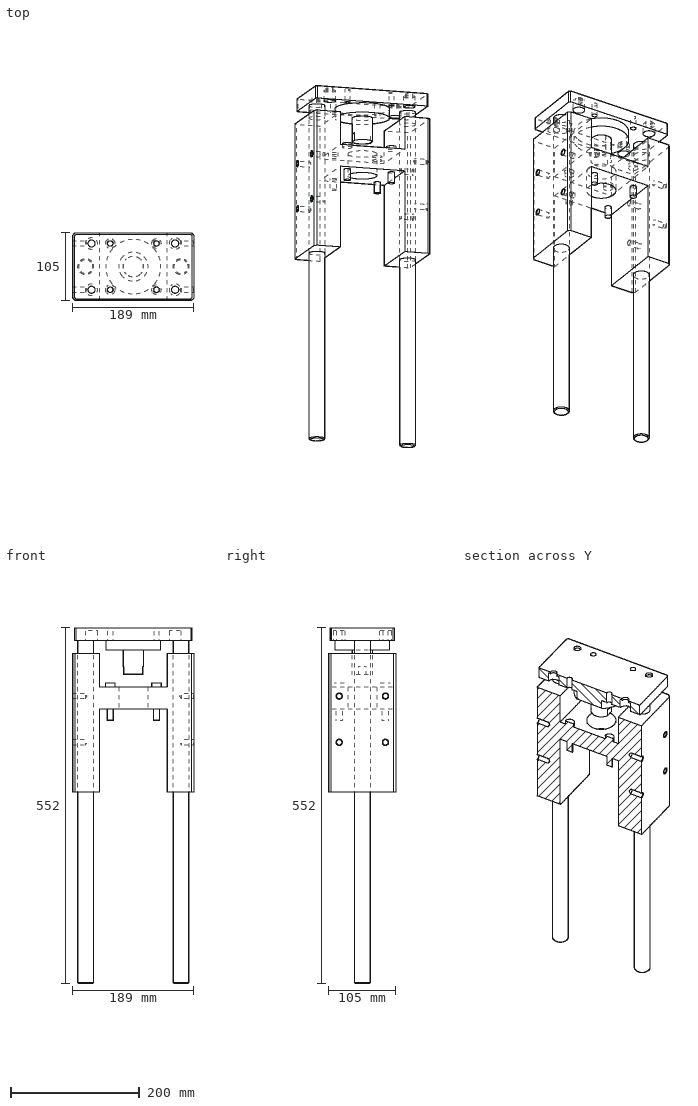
import cadquery as cq
import math

total_height = 552.0

housing_width = 189.0
housing_depth = 105.0
housing_height = 215.5
leg_width = 42.0
leg_gap = housing_width - 2 * leg_width
corner_chamfer = 4.0
web_thickness = 35.0
web_drop = 52.0
web_bore_diameter = 45.0

fixing_pitch = 72.0
screw_head_diameter = 15.0
screw_head_height = 6.0
screw_shank_diameter = 10.0
screw_shank_reach = 17.0

side_hole_diameter = 8.5
side_hole_mouth_diameter = 10.0
side_hole_depth = 20.0
drill_point_angle = 118
side_hole_pitch = 72.0
side_hole_drop = 66.0

plate_width = 182.5
plate_depth = 100.0
plate_thickness = 20.0
plate_chamfer = 2.0
plate_gap = 20.0
plate_small_hole_diameter = 8.5
plate_large_hole_diameter = 11.0
plate_large_hole_pitch_x = 129.5
counterbore_diameter = 18.0
counterbore_depth = 16.0
rod_diameter = 25.0
rod_pitch = 148.0
rod_chamfer = 1.5
flange_diameter = 85.0
flange_thickness = 15.0
stem_diameter = 32.0
stem_length = 37.5
stem_flat_width = 30.0
stem_flat_length = 12.0

plate_bottom = total_height - plate_thickness
housing_top = plate_bottom - plate_gap
housing_bottom = housing_top - housing_height
web_top = housing_top - web_drop
web_bottom = web_top - web_thickness


def cylinder(diameter, bottom, top):
    """Vertical cylinder on the Z axis between two levels."""
    return cq.Workplane("XY").workplane(offset=bottom).circle(diameter / 2).extrude(top - bottom)


def block(width, depth, bottom, top):
    """Upright block centred on the Z axis between two levels."""
    return cq.Workplane("XY").workplane(offset=bottom).rect(width, depth).extrude(top - bottom)


def grid(pitch_x, pitch_y):
    """Four corner points of a rectangular pattern around the Z axis."""
    return [(sx * pitch_x / 2, sy * pitch_y / 2) for sx in (-1, 1) for sy in (-1, 1)]


rod_points = [(-rod_pitch / 2, 0), (rod_pitch / 2, 0)]


def make_side_hole():
    """Countersunk blind hole with a drill-point end, entering at the origin along +X."""
    radius = side_hole_diameter / 2
    mouth_radius = side_hole_mouth_diameter / 2
    mouth_depth = mouth_radius - radius
    point_length = radius / math.tan(math.radians(drill_point_angle / 2))
    profile = [
        (0, 0),
        (0, mouth_radius),
        (mouth_depth, radius),
        (side_hole_depth, radius),
        (side_hole_depth + point_length, 0),
    ]
    return cq.Workplane("XY").polyline(profile).close().revolve(360, (0, 0), (1, 0))


def make_screw():
    """Screw on the Z axis, its head on the web and its shank through it."""
    head = cylinder(screw_head_diameter, web_top, web_top + screw_head_height)
    shank = cylinder(screw_shank_diameter, web_bottom - screw_shank_reach, web_top)
    return head.union(shank)


def make_housing():
    """H-shaped block with rod bores, web bore, side holes and its four web screws."""
    body = block(housing_width, housing_depth, housing_bottom, housing_top)
    body = body.edges("|Z").chamfer(corner_chamfer)
    body = body.cut(block(leg_gap, housing_depth, web_top, housing_top))
    body = body.cut(block(leg_gap, housing_depth, housing_bottom, web_bottom))
    body = body.cut(cylinder(web_bore_diameter, web_bottom, web_top))

    for x, y in rod_points:
        body = body.cut(cylinder(rod_diameter, housing_bottom, housing_top).translate((x, y, 0)))

    upper_row = housing_top - side_hole_drop
    for y in (-side_hole_pitch / 2, side_hole_pitch / 2):
        for z in (upper_row, upper_row - side_hole_pitch):
            hole = make_side_hole().translate((-housing_width / 2, y, z))
            body = body.cut(hole).cut(hole.mirror("YZ"))

    for x, y in grid(fixing_pitch, fixing_pitch):
        body = body.union(make_screw().translate((x, y, 0)))
    return body


def make_plate():
    """Top plate with four plain holes and four holes counterbored from below."""
    plate = block(plate_width, plate_depth, plate_bottom, total_height)
    plate = plate.edges("|Z").chamfer(plate_chamfer)
    hole_patterns = [
        (plate_small_hole_diameter, grid(fixing_pitch, fixing_pitch)),
        (plate_large_hole_diameter, grid(plate_large_hole_pitch_x, fixing_pitch)),
    ]
    for diameter, points in hole_patterns:
        for x, y in points:
            plate = plate.cut(cylinder(diameter, plate_bottom, total_height).translate((x, y, 0)))

    for x, y in grid(plate_large_hole_pitch_x, fixing_pitch):
        counterbore = cylinder(counterbore_diameter, plate_bottom, plate_bottom + counterbore_depth)
        plate = plate.cut(counterbore.translate((x, y, 0)))
    return plate


def make_coupling():
    """Flange under the plate with a stem whose lower end has two wrench flats facing +X and -X."""
    flange_bottom = plate_bottom - flange_thickness
    stem_bottom = flange_bottom - stem_length
    flat_top = stem_bottom + stem_flat_length
    flange = cylinder(flange_diameter, flange_bottom, plate_bottom)
    round_stem = cylinder(stem_diameter, flat_top, flange_bottom)
    flatted_end = cylinder(stem_diameter, stem_bottom, flat_top)
    flatted_end = flatted_end.intersect(block(stem_flat_width, stem_diameter, stem_bottom, flat_top))
    return flange.union(round_stem).union(flatted_end)


def make_slide():
    """Plate, guide rods and coupling as one moving body."""
    body = make_plate()
    rod = cylinder(rod_diameter, 0, plate_bottom).faces("<Z").chamfer(rod_chamfer)
    for x, y in rod_points:
        body = body.union(rod.translate((x, y, 0)))

    body = body.union(make_coupling())
    return body


housing = make_housing()
slide = make_slide()
result = cq.Compound.makeCompound([housing.val(), slide.val()])